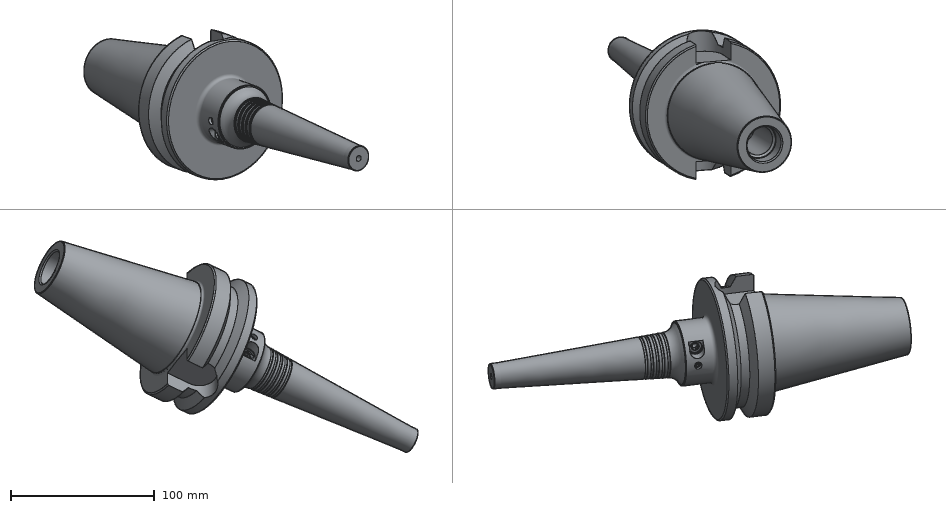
import cadquery as cq
import math

taper_length = 101.8
nose_length = 195.0

gauge_dia = 69.85
taper_ratio = 7 / 24
taper_rear_chamfer = 0.5
relief_dia = 68.9
relief_start = 1.0
relief_fillet = 1.9

flange_dia = 100.0
flange_start = 3.0
flange_end = 38.0
flange_chamfer = 1.0
groove_center = 23.2
groove_root_dia = 85.0
groove_root_width = 6.2
groove_half_angle = 30.0

slot_width = 25.7
slot_floor = 35.4
slot_end = 34.0

boss_dia = 45.8
boss_end = 61.0
boss_chamfer = 0.5
boss_root_fillet = 2.7

neck_dia = 32.0
neck_start = 69.8
neck_fillet = 8.8
neck_fillet_angle = 50.0
ring_groove_start = 70.0
ring_groove_count = 5
ring_groove_width = 2.0
ring_groove_pitch = 4.0
ring_groove_depth = 0.5
ring_groove_wall_run = 0.32
nose_cone_start = 88.0
nose_cone_dia = 29.8
tip_dia = 18.0
tip_length = 5.0
tip_chamfer = 0.5

mouth_dia = 25.0
mouth_chamfer = 1.0
mouth_depth = 11.0
thread_dia = 21.0
thread_depth = 50.0
thread_mouth_dia = 24.0
thread_chamfer_length = 1.8
coolant_dia = 4.1
bore_cone_half_angle = 60.0

screw_x = 52.0
seat_width = 10.4
seat_height = 11.7
seat_floor = 15.5
screw_hole_dia = 9.0
screw_hole_depth = 1.5
screw_socket_size = 4.0
screw_socket_depth = 2.5
plug_hole_dia = 5.0
plug_hole_offset = 1.2
plug_hole_depth = 2.5
plug_socket_size = 2.0
plug_socket_depth = 1.5
socket_tip_angle = 120.0
socket_chamfer = 0.6
half_turn_angles = (0, 180)

rear_x = -taper_length
tip_x = nose_length
rear_radius = (gauge_dia - taper_length * taper_ratio) / 2
flange_radius = flange_dia / 2
groove_root_radius = groove_root_dia / 2
groove_flank = (flange_radius - groove_root_radius) * math.tan(math.radians(groove_half_angle))
neck_radius = neck_dia / 2


def body_profile():
    """Half section of the turned outside, revolved about X."""
    relief_radius = relief_dia / 2
    boss_radius = boss_dia / 2
    tip_radius = tip_dia / 2
    root_start = groove_center - groove_root_width / 2
    root_end = groove_center + groove_root_width / 2
    diagonal = math.sqrt(0.5)
    root_center = (flange_end + boss_root_fillet, boss_radius + boss_root_fillet)

    neck_angle = math.radians(neck_fillet_angle)
    neck_center_radius = neck_radius + neck_fillet

    def neck_arc(angle):
        return (
            neck_start - neck_fillet * math.sin(angle),
            neck_center_radius - neck_fillet * math.cos(angle),
        )

    cone_x, cone_radius = neck_arc(neck_angle)
    shoulder_radius = cone_radius + (cone_x - boss_end) * math.tan(neck_angle)

    return (
        cq.Workplane("XY")
        .moveTo(rear_x, 0)
        .lineTo(rear_x, rear_radius - taper_rear_chamfer)
        .lineTo(rear_x + taper_rear_chamfer, rear_radius + taper_rear_chamfer * taper_ratio / 2)
        .lineTo(0, gauge_dia / 2)
        .lineTo(relief_start, gauge_dia / 2)
        .lineTo(relief_start, relief_radius)
        .lineTo(flange_start - relief_fillet, relief_radius)
        .threePointArc(
            (
                flange_start - relief_fillet * (1 - diagonal),
                relief_radius + relief_fillet * (1 - diagonal),
            ),
            (flange_start, relief_radius + relief_fillet),
        )
        .lineTo(flange_start, flange_radius - flange_chamfer)
        .lineTo(flange_start + flange_chamfer, flange_radius)
        .lineTo(root_start - groove_flank, flange_radius)
        .lineTo(root_start, groove_root_radius)
        .lineTo(root_end, groove_root_radius)
        .lineTo(root_end + groove_flank, flange_radius)
        .lineTo(flange_end - flange_chamfer, flange_radius)
        .lineTo(flange_end, flange_radius - flange_chamfer)
        .lineTo(flange_end, root_center[1])
        .threePointArc(
            (root_center[0] - boss_root_fillet * diagonal, root_center[1] - boss_root_fillet * diagonal),
            (root_center[0], boss_radius),
        )
        .lineTo(boss_end - boss_chamfer, boss_radius)
        .lineTo(boss_end, boss_radius - boss_chamfer)
        .lineTo(boss_end, shoulder_radius)
        .lineTo(cone_x, cone_radius)
        .threePointArc(neck_arc(neck_angle / 2), (neck_start, neck_radius))
        .lineTo(nose_cone_start, nose_cone_dia / 2)
        .lineTo(tip_x - tip_length, tip_radius)
        .lineTo(tip_x - tip_chamfer, tip_radius)
        .lineTo(tip_x, tip_radius - tip_chamfer)
        .lineTo(tip_x, 0)
        .close()
    )


def turned_body():
    return body_profile().revolve(360, (0, 0, 0), (1, 0, 0))


def cut_ring_grooves(body):
    """Evenly spaced grooves with sloped walls, following the slight taper of the neck."""
    neck_slope = (neck_dia - nose_cone_dia) / 2 / (nose_cone_start - neck_start)

    def surface_radius(x):
        return neck_radius - neck_slope * (x - neck_start)

    for index in range(ring_groove_count):
        start = ring_groove_start + index * ring_groove_pitch
        end = start + ring_groove_width
        floor_radius = surface_radius(start) - ring_groove_depth
        ring = (
            cq.Workplane("XY")
            .moveTo(start, neck_dia)
            .lineTo(start, surface_radius(start))
            .lineTo(start + ring_groove_wall_run, floor_radius)
            .lineTo(end - ring_groove_wall_run, floor_radius)
            .lineTo(end, surface_radius(end))
            .lineTo(end, neck_dia)
            .close()
            .revolve(360, (0, 0, 0), (1, 0, 0))
        )
        body = body.cut(ring)
    return body


def cut_drive_slots(body):
    """Two opposite slots, open to the rear and ending in a full radius."""
    slot_radius = slot_width / 2
    straight_end = slot_end - slot_radius
    slot = (
        cq.Workplane("XY", origin=(0, 0, slot_floor))
        .moveTo(0, -slot_radius)
        .lineTo(straight_end, -slot_radius)
        .threePointArc((slot_end, 0), (straight_end, slot_radius))
        .lineTo(0, slot_radius)
        .close()
        .extrude(flange_radius)
    )
    for angle in half_turn_angles:
        body = body.cut(slot.rotate((0, 0, 0), (1, 0, 0), angle))
    return body


def axial_bore():
    """Chamfered mouth, thread core hole with a conical bottom, and coolant hole through to the tip."""
    mouth_radius = mouth_dia / 2
    thread_radius = thread_dia / 2
    coolant_radius = coolant_dia / 2
    thread_end = rear_x + thread_depth
    cone_length = (thread_radius - coolant_radius) / math.tan(math.radians(bore_cone_half_angle))
    return (
        cq.Workplane("XY")
        .moveTo(rear_x, 0)
        .lineTo(rear_x, mouth_radius + mouth_chamfer)
        .lineTo(rear_x + mouth_chamfer, mouth_radius)
        .lineTo(rear_x + mouth_depth, mouth_radius)
        .lineTo(rear_x + mouth_depth, thread_mouth_dia / 2)
        .lineTo(rear_x + mouth_depth + thread_chamfer_length, thread_radius)
        .lineTo(thread_end, thread_radius)
        .lineTo(thread_end + cone_length, coolant_radius)
        .lineTo(tip_x, coolant_radius)
        .lineTo(tip_x, 0)
        .close()
        .revolve(360, (0, 0, 0), (1, 0, 0))
    )


def socket_hole(mouth_y, mouth_z, hole_dia, hole_depth, socket_size, socket_depth):
    """Round hole running in +Y from the mouth, with a hexagon socket and drill tip in its floor."""
    socket_y = mouth_y + hole_depth
    drill_tip_y = socket_y + socket_depth
    drill_tip_radius = socket_size / 2
    drill_tip_length = drill_tip_radius / math.tan(math.radians(socket_tip_angle / 2))
    across_corners = socket_size / math.cos(math.pi / 6)
    hole = (
        cq.Workplane("XZ", origin=(screw_x, mouth_y, mouth_z))
        .circle(hole_dia / 2)
        .extrude(-hole_depth)
    )
    socket = (
        cq.Workplane("XZ", origin=(screw_x, socket_y, mouth_z))
        .polygon(6, across_corners)
        .extrude(-socket_depth)
    )
    drill_tip = cq.Solid.makeCone(
        drill_tip_radius, 0, drill_tip_length, cq.Vector(screw_x, drill_tip_y, mouth_z), cq.Vector(0, 1, 0)
    )
    chamfer_cone = cq.Solid.makeCone(
        across_corners / 2 + socket_chamfer,
        across_corners / 2,
        socket_chamfer,
        cq.Vector(screw_x, socket_y, mouth_z),
        cq.Vector(0, 1, 0),
    )
    return hole.union(socket).union(drill_tip).union(chamfer_cone)


def screw_seat():
    """Flat seat open to -Z, with the sunk clamping screw in its floor."""
    seat_radius = seat_width / 2
    seat = (
        cq.Workplane("XZ", origin=(screw_x, -seat_floor, 0))
        .moveTo(-seat_radius, -boss_dia)
        .lineTo(-seat_radius, -seat_height)
        .threePointArc((0, seat_radius - seat_height), (seat_radius, -seat_height))
        .lineTo(seat_radius, -boss_dia)
        .close()
        .extrude(boss_dia)
    )
    screw = socket_hole(
        -seat_floor, -seat_height, screw_hole_dia, screw_hole_depth, screw_socket_size, screw_socket_depth
    )
    return seat.union(screw)


def plug_hole():
    return socket_hole(
        -boss_dia / 2,
        -plug_hole_offset,
        plug_hole_dia,
        plug_hole_depth,
        plug_socket_size,
        plug_socket_depth,
    )


def cut_boss_features(body):
    for cutter in (screw_seat(), plug_hole()):
        for angle in half_turn_angles:
            body = body.cut(cutter.rotate((0, 0, 0), (1, 0, 0), angle))
    return body


result = turned_body()
result = cut_ring_grooves(result)
result = cut_drive_slots(result)
result = result.cut(axial_bore())
result = cut_boss_features(result)